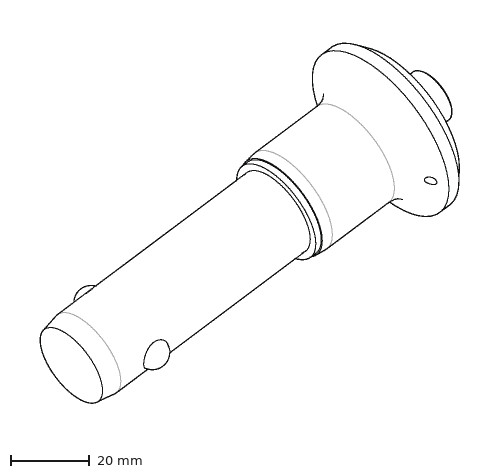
import cadquery as cq
import math

total_length = 126.8
button_end_y = total_length / 2

button_radius = 7.6
button_edge = 0.4
button_length = 11.2

flange_radius = 25.0
flange_chamfer = 3.4
flange_rim_width = 3.5

body_radius = 15.2
body_taper_start = 49.7
body_taper_length = 3.2
body_taper_depth = 0.4

collar_radius = 14.5
collar_length = 1.9

shank_radius = 12.4
tip_radius = 11.4
tip_length = 5.5

ball_radius = 4.5
ball_reach = 15.6
ball_station = 109.0

lanyard_hole_diameter = 2.8
lanyard_hole_offset = 19.9

neck_radius = flange_radius - body_radius
rim_start = button_length + flange_chamfer
rim_end = rim_start + flange_rim_width
neck_end = rim_end + neck_radius
body_end = body_taper_start + body_taper_length
collar_end = body_end + collar_length


def at(radius, station):
    """Point of the turned profile in the XY plane."""
    return (radius, button_end_y - station)


def turned_pin():
    """Button, flange, neck, body, collar and shank as one revolved solid."""
    neck_mid_offset = neck_radius * math.sqrt(0.5)
    neck_middle = at(flange_radius - neck_mid_offset, neck_end - neck_mid_offset)
    return (
        cq.Workplane("XY")
        .moveTo(*at(0, 0))
        .lineTo(*at(button_radius - button_edge, 0))
        .lineTo(*at(button_radius, button_edge))
        .lineTo(*at(button_radius, button_length))
        .lineTo(*at(flange_radius - flange_chamfer, button_length))
        .lineTo(*at(flange_radius, rim_start))
        .lineTo(*at(flange_radius, rim_end))
        .threePointArc(neck_middle, at(body_radius, neck_end))
        .lineTo(*at(body_radius, body_taper_start))
        .lineTo(*at(body_radius - body_taper_depth, body_end))
        .lineTo(*at(collar_radius, body_end))
        .lineTo(*at(collar_radius, collar_end))
        .lineTo(*at(shank_radius, collar_end))
        .lineTo(*at(shank_radius, total_length - tip_length))
        .lineTo(*at(tip_radius, total_length))
        .lineTo(*at(0, total_length))
        .close()
        .revolve(360, (0, 0, 0), (0, 1, 0))
    )


def locking_ball(side):
    """Ball protruding from the shank on the +X (1) or -X (-1) side."""
    x, y = at(side * (ball_reach - ball_radius), ball_station)
    return cq.Workplane("XY").sphere(ball_radius).translate((x, y, 0))


def lanyard_hole():
    """Cutter parallel to the axis, passing through the flange only."""
    x, y = at(lanyard_hole_offset, button_length)
    flange_depth = neck_end - button_length
    return (
        cq.Workplane("XZ", origin=(x, y, 0))
        .circle(lanyard_hole_diameter / 2)
        .extrude(flange_depth)
    )


result = turned_pin().cut(lanyard_hole())
for side in (-1, 1):
    result = result.union(locking_ball(side))